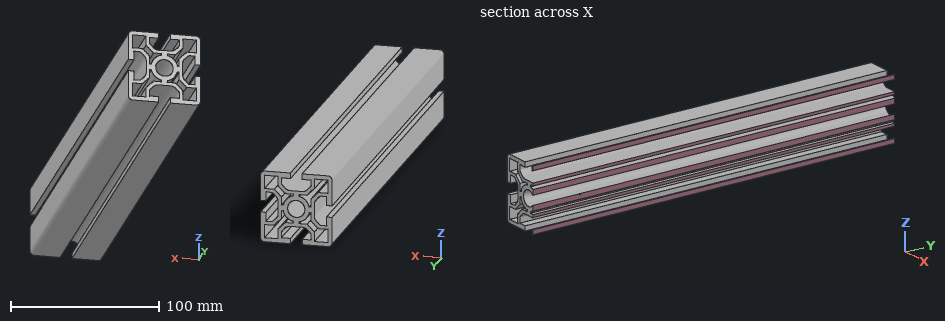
import cadquery as cq
import math

length = 300.0
width = 50.0
corner_radius = 3.0

side_wall = 3.0
lip_thickness = 4.0
web_thickness = 2.5
web_slant = 5.0

mouth_width = 8.0
slot_width = 20.7
slot_floor = 12.5
slot_slant = 4.2
floor_round = 4.8
side_round = 2.0

bore_diameter = 12.0
tube_radius = 9.3
neck_width = 4.2

half_width = width / 2
half_slot = slot_width / 2
quarter_turns = (0, 90, 180, 270)


def along_bar(profile):
    """Extrude an XZ outline over the full length, centred on the origin."""
    return profile.extrude(length / 2, both=True)


def make_slot():
    """Cutter for the T-slot that opens towards +Z."""
    half_mouth = mouth_width / 2
    lip_inside = half_width - lip_thickness
    right_side = [
        (half_mouth, half_width),
        (half_mouth, lip_inside),
        (half_slot, lip_inside),
        (half_slot, slot_floor + slot_slant),
        (half_slot - slot_slant, slot_floor),
    ]
    left_side = [(-x, z) for x, z in reversed(right_side)]
    slot = along_bar(cq.Workplane("XZ").polyline(right_side + left_side).close())
    slot = slot.faces("<Z").edges("|Y").fillet(floor_round)
    return slot.faces("<X or >X").edges("|Y").edges("<Z").fillet(side_round)


def make_chamber():
    """Cutter for the closed chamber between two slots and the tube, in the +X +Z corner."""
    half_neck = neck_width / 2
    outer = half_width - side_wall
    web_side = half_slot + web_thickness
    web_floor = slot_floor - web_thickness
    tube_meet = math.sqrt(tube_radius**2 - half_neck**2)
    tube_diagonal = tube_radius / math.sqrt(2)
    upper_web = [
        (half_neck, tube_meet),
        (half_neck, web_floor),
        (web_side - web_slant, web_floor),
        (web_side, web_floor + web_slant),
        (web_side, outer),
    ]
    lower_web = [(z, x) for x, z in reversed(upper_web)]
    return along_bar(
        cq.Workplane("XZ")
        .polyline(upper_web + [(outer, outer)] + lower_web)
        .threePointArc((tube_diagonal, tube_diagonal), upper_web[0])
        .close()
    )


bar = along_bar(cq.Workplane("XZ").rect(width, width)).edges("|Y").fillet(corner_radius)
bore = along_bar(cq.Workplane("XZ").circle(bore_diameter / 2))
slot = make_slot()
chamber = make_chamber()

result = bar.cut(bore)
for angle in quarter_turns:
    for cutter in (slot, chamber):
        result = result.cut(cutter.rotate((0, 0, 0), (0, 1, 0), angle))